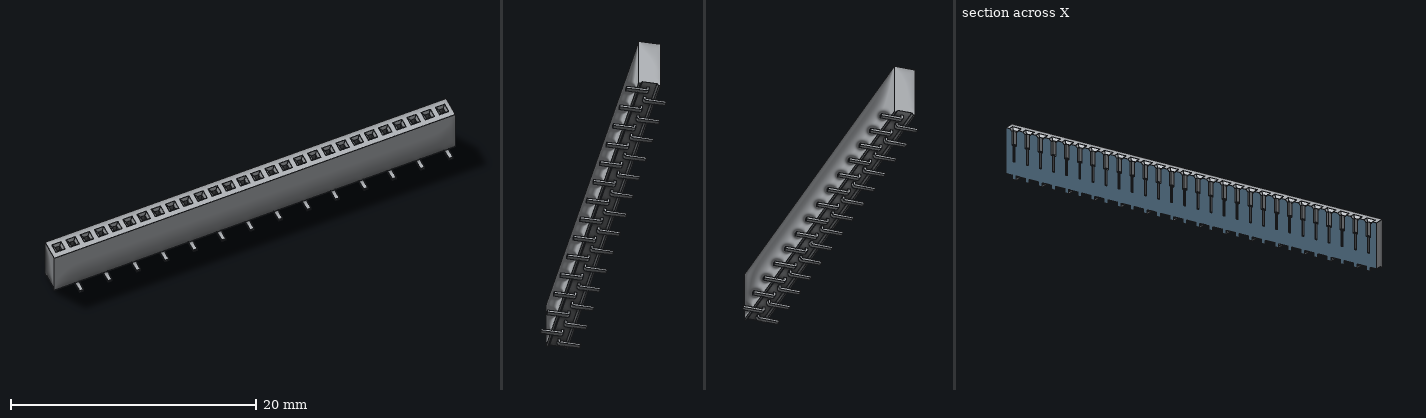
import cadquery as cq

length = 35.9
width = 1.83
total_height = 4.52
standoff = 0.2
housing_height = total_height - standoff

contact_count = 28
pitch = 1.27
contact_ys = [(i - (contact_count - 1) / 2) * pitch for i in range(contact_count)]

funnel_mouth = 0.83
funnel_throat = 0.4
funnel_depth = 0.2
shaft_depth = 1.45
bore_size = 0.15
bore_depth = 2.87

channel_mouth = 1.5
channel_roof = 1.22
channel_depth = 0.18

lead_reach = 1.8
lead_thickness = 0.198
taper_start = 1.1
lead_width = 0.4
tip_width = 0.35
heel_radius = 0.2


def make_housing():
    body = cq.Workplane("XY").box(width, length, housing_height, centered=(True, True, False))
    body = body.translate((0, 0, standoff))
    channel_top = standoff + channel_depth
    channel = (
        cq.Workplane("XZ")
        .moveTo(-channel_mouth / 2, standoff)
        .lineTo(-channel_roof / 2, channel_top)
        .lineTo(channel_roof / 2, channel_top)
        .lineTo(channel_mouth / 2, standoff)
        .close()
        .extrude(length / 2, both=True)
    )
    return body.cut(channel)


def make_socket():
    top = cq.Workplane("XY", origin=(0, 0, total_height))
    funnel = (
        top.rect(funnel_mouth, funnel_mouth)
        .workplane(offset=-funnel_depth)
        .rect(funnel_throat, funnel_throat)
        .loft(ruled=True)
    )
    shaft = top.rect(funnel_throat, funnel_throat).extrude(-shaft_depth)
    bore = top.rect(bore_size, bore_size).extrude(-bore_depth)
    return funnel.union(shaft).union(bore)


def make_lead():
    """Upright stem rooted in the channel roof, with its flat foot pointing toward +X."""
    heel_x = -lead_thickness / 2
    foot = (
        cq.Workplane("XY")
        .moveTo(heel_x, -lead_width / 2)
        .lineTo(taper_start, -lead_width / 2)
        .lineTo(lead_reach, -tip_width / 2)
        .lineTo(lead_reach, tip_width / 2)
        .lineTo(taper_start, lead_width / 2)
        .lineTo(heel_x, lead_width / 2)
        .close()
        .extrude(lead_thickness)
    )
    stem_height = standoff + 2 * channel_depth
    stem = cq.Workplane("XY").box(lead_thickness, lead_width, stem_height, centered=(True, True, False))
    return foot.union(stem).faces("<X").edges("<Z").fillet(heel_radius)


def repeat_along_row(shape, ys):
    points = [(0, y) for y in ys]
    return cq.Workplane("XY").pushPoints(points).eachpoint(lambda place: shape.val().moved(place))


lead_right = make_lead()
lead_left = lead_right.mirror("YZ")

result = (
    make_housing()
    .cut(repeat_along_row(make_socket(), contact_ys))
    .union(repeat_along_row(lead_left, contact_ys[0::2]))
    .union(repeat_along_row(lead_right, contact_ys[1::2]))
)